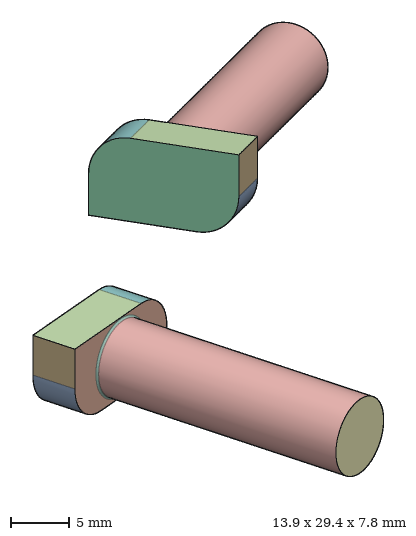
import cadquery as cq

total_length = 29.4
head_width = 13.9
head_height = 7.8
head_thickness = 4.4
corner_radius = head_height / 2
shank_diameter = 7.23
neck_fillet = 0.18

shank_radius = shank_diameter / 2
head_back = -total_length / 2 + head_thickness


def make_head():
    """Head block with its -X/+Z and +X/-Z corners rounded to half its height."""
    block = cq.Workplane("XY").box(head_width, head_thickness, head_height)
    block = block.edges("|Y").edges("(<X and >Z) or (>X and <Z)").fillet(corner_radius)
    return block.translate((0, head_back - head_thickness / 2, 0))


def make_shank():
    """Round shank running from the back of the head to the +Y end."""
    shank_length = total_length - head_thickness
    return cq.Workplane("XZ", origin=(0, head_back, 0)).circle(shank_radius).extrude(-shank_length)


def add_neck_fillet(bolt):
    """Blend the shank into the back face of the head."""
    neck_edge = cq.selectors.BoxSelector(
        (-shank_radius, head_back - neck_fillet, -shank_radius),
        (shank_radius, head_back + neck_fillet, shank_radius),
    )
    neck_circle = bolt.edges(neck_edge).edges("%CIRCLE")
    return neck_circle.fillet(neck_fillet)


result = add_neck_fillet(make_head().union(make_shank()))